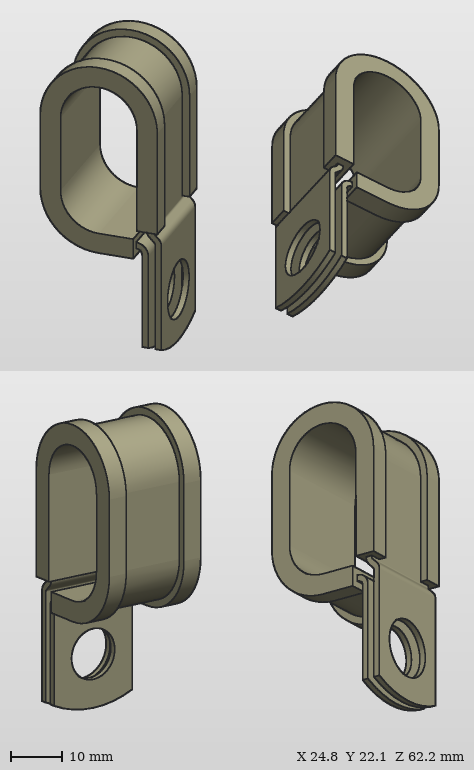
import cadquery as cq
import math

overall_height = 62.2
cushion_width = 22.1
outer_radius = 12.25
cushion_thickness = 4.3
side_length = 15.85
free_side_length = 21.95
foot_length = 7.2

groove_width = 13.9
groove_depth = 1.55
strap_thickness = 1.3
strap_width = 18.9

foot_bend_radius = 1.25
jog_bend_radius = 0.6
jog_lead = 0.3
jog_angle = math.radians(45)
outer_tab_face = 12.5

hole_diameter = 10.4
clearance_diameter = 12.0
hole_drop = 38.85
tab_end_sag = 2.1

inner_radius = outer_radius - cushion_thickness
strap_radius = outer_radius - groove_depth
strap_inner_radius = strap_radius - strap_thickness
tab_bottom = outer_radius - overall_height


def extrude_centred(profile, width):
    """Extrude an XZ profile symmetrically about the mid plane."""
    return profile.extrude(width / 2, both=True)


def loop_band(inside, outside, width):
    """P-shaped band between two bend radii, from the free side round to the foot."""
    profile = (
        cq.Workplane("XZ")
        .moveTo(outside, -free_side_length)
        .lineTo(outside, 0)
        .threePointArc((0, outside), (-outside, 0))
        .lineTo(-outside, -side_length)
        .radiusArc((0, -side_length - outside), -outside)
        .lineTo(foot_length, -side_length - outside)
        .lineTo(foot_length, -side_length - inside)
        .lineTo(0, -side_length - inside)
        .radiusArc((-inside, -side_length), inside)
        .lineTo(-inside, 0)
        .threePointArc((0, inside), (inside, 0))
        .lineTo(inside, -free_side_length)
        .close()
    )
    return extrude_centred(profile, width)


def foot_tab():
    """Strap turning down from the end of the foot."""
    outside_bend = foot_bend_radius + strap_thickness
    bend_z = -side_length - strap_radius - foot_bend_radius
    inside_x = foot_length + foot_bend_radius
    outside_x = foot_length + outside_bend
    profile = (
        cq.Workplane("XZ")
        .moveTo(foot_length, bend_z + outside_bend)
        .radiusArc((outside_x, bend_z), outside_bend)
        .lineTo(outside_x, tab_bottom)
        .lineTo(inside_x, tab_bottom)
        .lineTo(inside_x, bend_z)
        .radiusArc((foot_length, bend_z + foot_bend_radius), -foot_bend_radius)
        .close()
    )
    return extrude_centred(profile, strap_width)


def jogged_tab():
    """Strap leaving the free side, jogging outward, then running straight down."""
    large = jog_bend_radius + strap_thickness
    sine = math.sin(jog_angle)
    versine = 1 - math.cos(jog_angle)
    jog = outer_tab_face - strap_radius
    slope_x = jog - (large + jog_bend_radius) * versine
    slope_z = slope_x / math.tan(jog_angle)
    height = slope_z + (large + jog_bend_radius) * sine
    leg_end = -free_side_length
    top = leg_end - jog_lead
    low = top - height
    tab_inner_face = outer_tab_face - strap_thickness
    profile = (
        cq.Workplane("XZ")
        .moveTo(strap_radius, leg_end)
        .lineTo(strap_radius, top)
        .radiusArc((strap_radius + jog_bend_radius * versine, top - jog_bend_radius * sine), -jog_bend_radius)
        .lineTo(outer_tab_face - large * versine, low + large * sine)
        .radiusArc((outer_tab_face, low), large)
        .lineTo(outer_tab_face, tab_bottom)
        .lineTo(tab_inner_face, tab_bottom)
        .lineTo(tab_inner_face, low)
        .radiusArc((tab_inner_face - jog_bend_radius * versine, low + jog_bend_radius * sine), -jog_bend_radius)
        .lineTo(strap_inner_radius + large * versine, top - large * sine)
        .radiusArc((strap_inner_radius, top), large)
        .lineTo(strap_inner_radius, leg_end)
        .close()
    )
    return extrude_centred(profile, strap_width)


def tab_outline():
    """Solid along X with the tabs' rounded lower end, used to trim both tabs."""
    half_width = strap_width / 2
    corner_z = tab_bottom + tab_end_sag
    return (
        cq.Workplane("YZ")
        .moveTo(-half_width, 0)
        .lineTo(-half_width, corner_z)
        .threePointArc((0, tab_bottom), (half_width, corner_z))
        .lineTo(half_width, 0)
        .close()
        .extrude(outer_tab_face)
    )


def screw_hole(diameter):
    """Cutter along X on the screw axis."""
    return cq.Workplane("YZ").center(0, -hole_drop).circle(diameter / 2).extrude(outer_tab_face)


cushion = loop_band(inner_radius, outer_radius, cushion_width)
groove = loop_band(strap_radius, outer_radius, groove_width)

end_trim = tab_outline()
inner_tab = foot_tab().intersect(end_trim).cut(screw_hole(hole_diameter))
outer_tab = jogged_tab().intersect(end_trim).cut(screw_hole(clearance_diameter))

result = cushion.cut(groove).union(inner_tab).union(outer_tab)